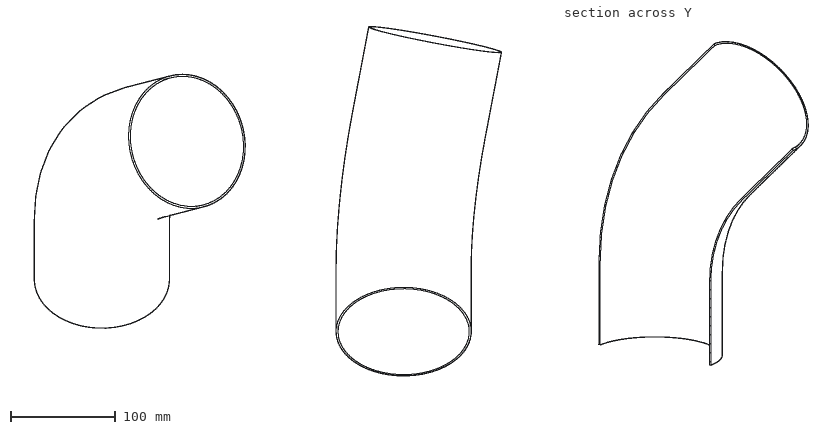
import cadquery as cq
import math

OUTER_DIAMETER = 129.0
INNER_DIAMETER = 125.0
BEND_ANGLE = 45.0
BEND_RADIUS = 1.5 * INNER_DIAMETER
CENTRE_TO_END = 160.2

angle = math.radians(BEND_ANGLE)
leg_length = CENTRE_TO_END - BEND_RADIUS * math.tan(angle / 2)

bend_end_x = BEND_RADIUS * (1 - math.cos(angle))
bend_end_z = leg_length + BEND_RADIUS * math.sin(angle)
outlet_direction = cq.Vector(math.sin(angle), 0, math.cos(angle))


def pipe_section(plane):
    """Ring-shaped cross-section of the pipe wall."""
    return cq.Workplane(plane).circle(OUTER_DIAMETER / 2).circle(INNER_DIAMETER / 2)


def inlet_leg():
    """Vertical straight leg standing on the XY plane."""
    return pipe_section(cq.Plane.XY()).extrude(leg_length)


def bend():
    """Elbow turned about an axis parallel to Y through the bend centre."""
    bend_start = cq.Plane(origin=(0, 0, leg_length))
    return pipe_section(bend_start).revolve(BEND_ANGLE, (BEND_RADIUS, 0, 0), (BEND_RADIUS, 1, 0))


def outlet_leg():
    """Inclined straight leg continuing from the end of the bend."""
    bend_end = cq.Plane(
        origin=(bend_end_x, 0, bend_end_z),
        xDir=(math.cos(angle), 0, -math.sin(angle)),
        normal=outlet_direction,
    )
    return pipe_section(bend_end).extrude(leg_length)


result = inlet_leg().union(bend()).union(outlet_leg())